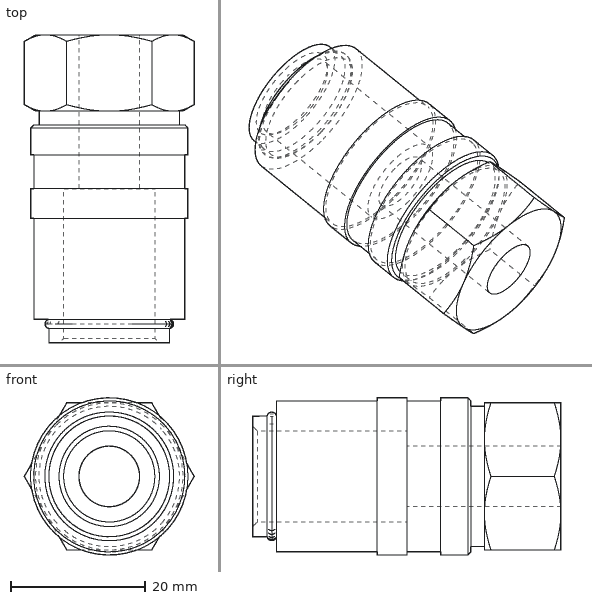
import cadquery as cq
import math

length = 46.0

nut_across_corners = 25.4
nut_across_flats = nut_across_corners * math.cos(math.radians(30))
nut_front = 34.6
nut_chamfer_angle = 30

neck_radius = 10.5
sleeve_radius = 11.25
sleeve_front = 3.55
collar_radius = 23.5 / 2
collar_chamfer = 0.45
rear_collar_span = (28.05, 32.55)
front_collar_span = (18.6, 23.05)
spout_radius = 9.0

bead_section_radius = 0.7
bead_outer_radius = 9.6

through_radius = 4.5
socket_radius = 6.8
socket_depth = 23.0
mouth_radius = 7.5
mouth_depth = 0.7


def cylinder(radius, start, end):
    """Solid cylinder on the Y axis between two stations."""
    plane = cq.Plane(origin=(0, start, 0), xDir=(1, 0, 0), normal=(0, 1, 0))
    return cq.Workplane(plane).circle(radius).extrude(end - start)


def revolve_about_axis(outline):
    """Turn a closed (radius, station) outline about the Y axis."""
    return outline.revolve(360, (0, 0, 0), (0, 1, 0))


def make_nut():
    """Hexagon with corners on X, both ends turned to a cone that meets the flats."""
    plane = cq.Plane(origin=(0, nut_front, 0), xDir=(1, 0, 0), normal=(0, 1, 0))
    hexagon = cq.Workplane(plane).polygon(6, nut_across_corners).extrude(length - nut_front)
    face_radius = nut_across_flats / 2
    blank_radius = nut_across_corners / 2 + 0.45
    rise = (blank_radius - face_radius) * math.tan(math.radians(nut_chamfer_angle))
    envelope = revolve_about_axis(
        cq.Workplane("XY").polyline([
            (0, nut_front),
            (face_radius, nut_front),
            (blank_radius, nut_front + rise),
            (blank_radius, length - rise),
            (face_radius, length),
            (0, length),
        ]).close()
    )
    return hexagon.intersect(envelope)


def make_body():
    """Spout, sleeve, neck and the two raised collars."""
    body = cylinder(spout_radius, 0, nut_front)
    body = body.union(cylinder(neck_radius, sleeve_front, nut_front))
    body = body.union(cylinder(sleeve_radius, sleeve_front, rear_collar_span[1] - collar_chamfer))
    rear_collar = cylinder(collar_radius, *rear_collar_span).faces(">Y").chamfer(collar_chamfer)
    front_collar = cylinder(collar_radius, *front_collar_span)
    return body.union(rear_collar).union(front_collar)


def make_bead():
    """Ring of round section, half sunk into the spout."""
    ring_radius = bead_outer_radius - bead_section_radius
    center = cq.Vector(0, sleeve_front - bead_section_radius, 0)
    torus = cq.Solid.makeTorus(ring_radius, bead_section_radius, center, cq.Vector(0, 1, 0))
    return cq.Workplane(torus)


def make_bore():
    """Tapered mouth, socket and through hole."""
    mouth = revolve_about_axis(
        cq.Workplane("XY").polyline([
            (0, 0),
            (mouth_radius, 0),
            (socket_radius, mouth_depth),
            (0, mouth_depth),
        ]).close()
    )
    socket = cylinder(socket_radius, 0, socket_depth)
    return cylinder(through_radius, 0, length).union(socket).union(mouth)


result = make_body().union(make_bead()).union(make_nut()).cut(make_bore())